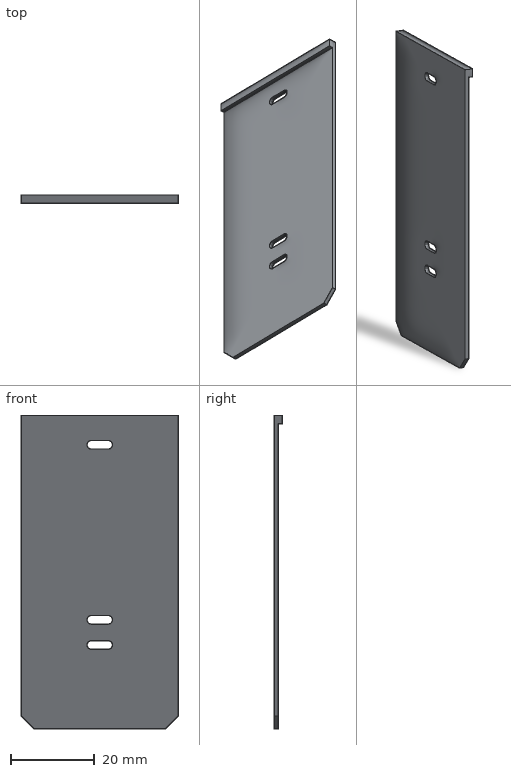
import cadquery as cq

width = 37.45
height = 74.75
plate_thickness = 1.0
corner_chamfer = 3.0

lip_depth = 2.0
lip_height = 2.0

slot_length = 6.0
slot_width = 2.0
top_slot_drop = 7.0
lower_slot_height = 20.0
lower_slot_pitch = 6.0
slot_heights = [
    lower_slot_height,
    lower_slot_height + lower_slot_pitch,
    height - top_slot_drop,
]


def block(depth, bottom, top):
    """Full-width block from the front face back, between two heights."""
    return cq.Workplane("XY").box(
        width, depth, top - bottom, centered=(True, False, False)
    ).translate((0, 0, bottom))


def make_plate():
    """Flat plate with its two bottom corners cut off."""
    plate = block(plate_thickness, 0, height)
    return plate.faces("<Z").edges("|Y").chamfer(corner_chamfer)


def make_slots():
    """Round-ended cutters that pass through the plate."""
    centres = [(0, slot_height) for slot_height in slot_heights]
    return (
        cq.Workplane("XZ")
        .pushPoints(centres)
        .slot2D(slot_length, slot_width)
        .extrude(-plate_thickness)
    )


lip = block(lip_depth, height - lip_height, height)
result = make_plate().union(lip).cut(make_slots())